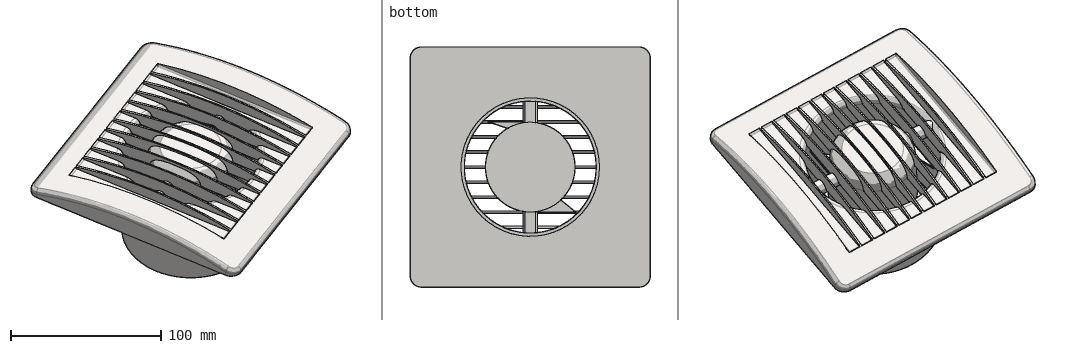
import cadquery as cq
import math

plate_side = 160.0
plate_height = 17.0
crown_radius = 249.6
wall_draft = 2.0
corner_radius = 7.7
rim_fillet = 3.2

window_side = 118.7
floor_level = 8.5
slat_count = 11
slat_span = 100.0
slat_pitch = slat_span / (slat_count - 1)
slat_top_thickness = 1.0
slat_foot_thickness = 1.8
slat_bottom = 4.8
window_fillet = 1.1

tube_length = 64.0
tube_radius = 46.0
inlet_radius = 49.0
throat_radius = 45.0
outlet_radius = 43.8
inlet_fillet = inlet_radius - throat_radius

hub_top = 16.0
hub_bottom = -32.0
hub_top_radius = 28.3
hub_bottom_radius = 30.0
hub_crown_radius = 136.0
hub_fillet = 9.6
strut_diameter = 10.0
strut_top = floor_level - 0.2
vane_thickness = 1.6
vane_edge = 3 * slat_pitch


def under_crown(solid):
    """Trim a solid to the cylindrical top surface of the cover."""
    crown = (
        cq.Workplane("XZ")
        .center(0, plate_height - crown_radius)
        .circle(crown_radius)
        .extrude(plate_side, both=True)
    )
    return solid.intersect(crown)


def make_cover():
    block = (
        cq.Workplane("XY")
        .sketch()
        .rect(plate_side, plate_side)
        .vertices()
        .fillet(corner_radius)
        .finalize()
        .extrude(plate_height + rim_fillet, taper=wall_draft)
    )
    cover = under_crown(block).faces(">Z").edges().fillet(rim_fillet)
    window = (
        cq.Workplane("XY")
        .workplane(offset=floor_level)
        .rect(window_side, window_side)
        .extrude(plate_height)
        .faces("<Z")
        .edges()
        .fillet(window_fillet)
    )
    return cover.cut(window)


def make_bore():
    """Air passage: rounded inlet at the floor, then a slightly tapered bore."""
    throat_level = floor_level - inlet_fillet
    bend = inlet_fillet * math.sqrt(0.5)
    return (
        cq.Workplane("XZ")
        .moveTo(0, -tube_length)
        .lineTo(outlet_radius, -tube_length)
        .lineTo(throat_radius, throat_level)
        .threePointArc(
            (inlet_radius - bend, throat_level + bend),
            (inlet_radius, floor_level),
        )
        .lineTo(0, floor_level)
        .close()
        .revolve(360, (0, 0), (0, 1))
    )


def make_slat(y):
    """Slat along X that thickens downwards and follows the crown of the cover."""
    slat = (
        cq.Workplane("YZ")
        .moveTo(y - slat_foot_thickness / 2, slat_bottom)
        .lineTo(y + slat_foot_thickness / 2, slat_bottom)
        .lineTo(y + slat_top_thickness / 2, plate_height)
        .lineTo(y - slat_top_thickness / 2, plate_height)
        .close()
        .extrude(window_side / 2, both=True)
    )
    return under_crown(slat)


def make_hub():
    crown_drop = hub_crown_radius - math.sqrt(hub_crown_radius**2 - hub_top_radius**2)
    mid_radius = hub_top_radius / 2
    mid_drop = hub_crown_radius - math.sqrt(hub_crown_radius**2 - mid_radius**2)
    shoulder = hub_top - crown_drop
    hub = (
        cq.Workplane("XZ")
        .moveTo(0, hub_bottom)
        .lineTo(hub_bottom_radius, hub_bottom)
        .lineTo(hub_top_radius, shoulder)
        .threePointArc((mid_radius, hub_top - mid_drop), (0, hub_top))
        .close()
        .revolve(360, (0, 0), (0, 1))
    )
    return hub.faces(">Z").edges("%CIRCLE").fillet(hub_fillet)


def make_strut():
    """Round strut along Y across the inlet, cut flush with the underside of the cover."""
    rod = (
        cq.Workplane("XZ")
        .center(0, strut_top - strut_diameter / 2)
        .circle(strut_diameter / 2)
        .extrude(inlet_radius, both=True)
    )
    return rod.intersect(cq.Workplane("XY").rect(plate_side, plate_side).extrude(plate_height))


def make_vane(outline):
    return cq.Workplane("XY").polyline(outline).close().extrude(vane_thickness)


result = make_cover()
result = result.union(cq.Workplane("XY").circle(tube_radius).extrude(-tube_length))
result = result.cut(make_bore())
result = result.union(make_strut())
result = result.union(make_hub())

right_tip_x = 30.4
right_root = (19.2, 20.8)
left_tip_x = -28.0
left_root = (-12.8, -25.0)
right_vane = [(0, 0), (0, vane_edge), (right_tip_x, vane_edge), right_root]
left_vane = [(0, 0), (0, -vane_edge), (left_tip_x, -vane_edge), left_root]
for outline in (right_vane, left_vane):
    result = result.union(make_vane(outline))

for index in range(slat_count):
    slat_y = index * slat_pitch - slat_span / 2
    result = result.union(make_slat(slat_y))